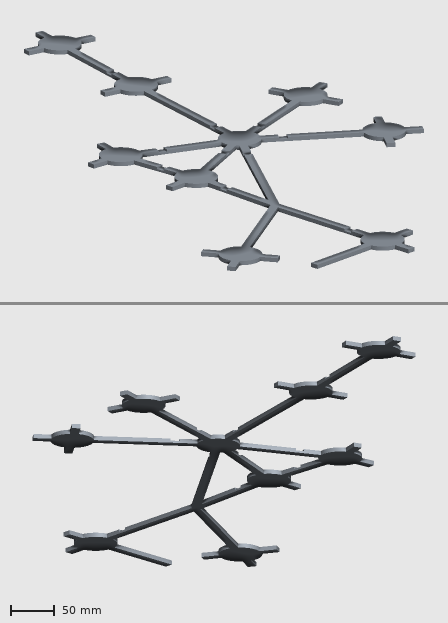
import cadquery as cq
import math

THICKNESS = 5.0
HUB_DIAMETER = 50.0
BAR_WIDTH = 10.0
STUB_LENGTH = 45.0
LONG_ARM_LENGTH = 114.1
LAP_LENGTH = 10.0
LAP_DEPTH = THICKNESS / 2

HUBS = {
    "center": (0.0, 0.0),
    "north": (31.6, 164.5),
    "northwest": (-111.2, 122.5),
    "west": (-212.1, -46.4),
    "far_west": (-372.9, -78.7),
    "south": (3.5, -146.6),
    "southeast": (102.7, -91.8),
    "east": (364.1, -136.7),
    "northeast": (375.4, 32.5),
}
JUNCTION = (223.0, -40.8)

POINTS = {**HUBS, "junction": JUNCTION}

BARS = [
    ("center", "north"),
    ("center", "northwest"),
    ("center", "west"),
    ("center", "south"),
    ("center", "southeast"),
    ("center", "junction"),
    ("west", "far_west"),
    ("southeast", "south"),
    ("southeast", "junction"),
    ("northeast", "junction"),
    ("east", "junction"),
]

LAPS = [
    ("center", "north"),
    ("center", "northwest"),
    ("center", "west"),
    ("center", "southeast"),
    ("center", "junction"),
    ("west", "far_west"),
    ("south", "center"),
    ("southeast", "south"),
    ("southeast", "junction"),
    ("northeast", "junction"),
]

STUB_ANGLES = {
    "north": (-10.8, 79.0, 169.0),
    "northwest": (42.5, 132.5, 222.5),
    "west": (101.5, 282.0),
    "far_west": (101.0, 191.0, 281.8),
    "south": (189.8, 290.5),
    "southeast": (296.0,),
    "east": (55.8, 235.8, 325.8),
    "northeast": (26.0, 115.5),
}
LONG_ARM_HUB = "northeast"
LONG_ARM_ANGLE = 296.1


def strip(origin, angle, start, end, bottom=0.0):
    """Bar-wide block from `bottom` to the top face, running out from `origin` at `angle`."""
    return (
        cq.Workplane("XY")
        .box(end - start, BAR_WIDTH, THICKNESS - bottom, centered=(False, True, False))
        .translate((start, 0, bottom))
        .rotate((0, 0, 0), (0, 0, 1), angle)
        .translate((*origin, 0))
    )


def direction_and_distance(start, end):
    """Angle in degrees and distance from one named point to another."""
    x0, y0 = POINTS[start]
    x1, y1 = POINTS[end]
    return math.degrees(math.atan2(y1 - y0, x1 - x0)), math.hypot(x1 - x0, y1 - y0)


def hub(center):
    return cq.Workplane("XY").center(*center).circle(HUB_DIAMETER / 2).extrude(THICKNESS)


def bar(start, end):
    angle, length = direction_and_distance(start, end)
    return strip(POINTS[start], angle, 0, length)


def arm(hub_name, angle, length):
    return strip(HUBS[hub_name], angle, 0, length)


def lap_step(start, end):
    """Cutter for the lowered stretch of a bar, just past the stub of its first hub."""
    angle, _ = direction_and_distance(start, end)
    lap_end = STUB_LENGTH + LAP_LENGTH
    return strip(POINTS[start], angle, STUB_LENGTH, lap_end, THICKNESS - LAP_DEPTH)


def free_arms():
    """Short stubs on the outer hubs, plus the single long arm."""
    stubs = [
        arm(hub_name, angle, STUB_LENGTH)
        for hub_name, angles in STUB_ANGLES.items()
        for angle in angles
    ]
    return stubs + [arm(LONG_ARM_HUB, LONG_ARM_ANGLE, LONG_ARM_LENGTH)]


pieces = [hub(center) for center in HUBS.values()]
pieces += [bar(start, end) for start, end in BARS]
pieces += free_arms()

result = pieces[0]
for piece in pieces[1:]:
    result = result.union(piece)
for start, end in LAPS:
    result = result.cut(lap_step(start, end))